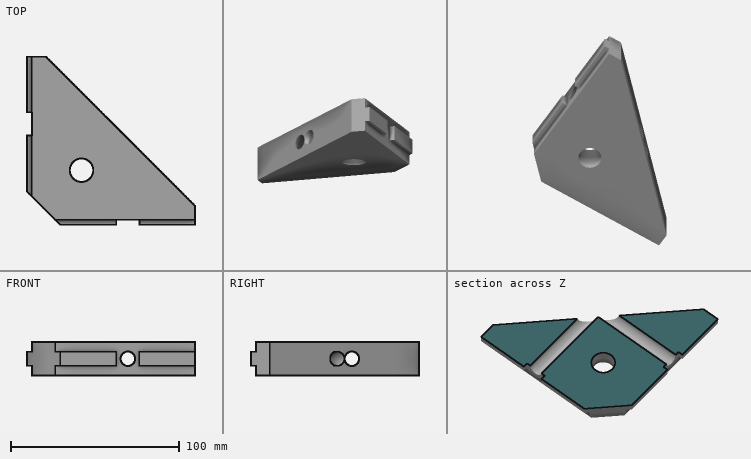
import cadquery as cq

leg = 100.0
thickness = 20.0
corner_cut = 20.0
end_width = 11.3
tongue_height = 3.0
tongue_width = 8.5
hole_position = 60.0
hole_diameter = 8.5
gap = 13.6
main_hole_diameter = 13.8
main_hole_position = 32.5


def bracket_outline():
    """Triangle with a cut corner and blunt leg ends."""
    return [
        (corner_cut, 0),
        (leg, 0),
        (leg, end_width),
        (end_width, leg),
        (0, leg),
        (0, corner_cut),
    ]


def side_rebate(z_center, height):
    """L-shaped cutter that removes the tongue depth along both legs."""
    plate = cq.Workplane("XY").box(leg, leg, height, centered=(False, False, True))
    inner = (
        cq.Workplane("XY")
        .box(leg, leg, height, centered=(False, False, True))
        .translate((tongue_height, tongue_height, 0))
    )
    return plate.cut(inner).translate((0, 0, z_center))


result = (
    cq.Workplane("XY")
    .polyline(bracket_outline())
    .close()
    .extrude(thickness / 2, both=True)
)

rebate_height = (thickness - tongue_width) / 2
rebate_z = (thickness - rebate_height) / 2
for z_center in (-rebate_z, rebate_z):
    result = result.cut(side_rebate(z_center, rebate_height))

result = result.cut(
    cq.Workplane("XY").box(gap, 2 * tongue_height, thickness).translate((hole_position, 0, 0))
)
result = result.cut(
    cq.Workplane("XY").box(2 * tongue_height, gap, thickness).translate((0, hole_position, 0))
)

hole_along_y = cq.Workplane("XZ").center(hole_position, 0).circle(hole_diameter / 2).extrude(-leg)
hole_along_x = cq.Workplane("YZ").center(hole_position, 0).circle(hole_diameter / 2).extrude(leg)
result = result.cut(hole_along_y).cut(hole_along_x)

main_hole = (
    cq.Workplane("XY")
    .center(main_hole_position, main_hole_position)
    .circle(main_hole_diameter / 2)
    .extrude(thickness, both=True)
)
result = result.cut(main_hole)